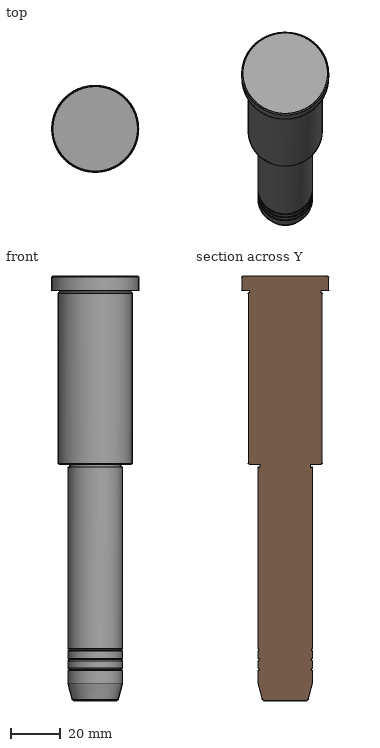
import cadquery as cq
import math

total_length = 171.0
head_height = 6.0
head_and_body_length = 76.0
tip_height = 7.0

head_diameter = 35.0
body_diameter = 30.0
shank_diameter = 22.0

head_chamfer = 0.5
body_chamfer = 0.5
tip_chamfer = 0.5

head_relief_height = 0.5
shank_relief_height = 1.0
shank_relief_depth = 0.7

groove_count = 3
groove_half_width = 0.5
groove_depth = 0.5
groove_pitch = 4.0
lowest_groove_centre = 12.7

tip_half_angle = 15.0

head_bottom = total_length - head_height
body_bottom = total_length - head_and_body_length
relief_bottom = body_bottom - shank_relief_height
shank_radius = shank_diameter / 2
relief_radius = shank_radius - shank_relief_depth
tip_radius = shank_radius - tip_height * math.tan(math.radians(tip_half_angle))


def cylinder(diameter, bottom, top):
    """Solid cylinder on the Z axis."""
    return cq.Workplane("XY").workplane(offset=bottom).circle(diameter / 2).extrude(top - bottom)


def groove_ring(centre_height):
    """Ring of triangular section that cuts one V groove into the shank."""
    return (
        cq.Workplane("XZ")
        .moveTo(shank_radius, centre_height - groove_half_width)
        .lineTo(shank_radius - groove_depth, centre_height)
        .lineTo(shank_radius, centre_height + groove_half_width)
        .close()
        .revolve(360, (0, 0), (0, 1))
    )


def make_head():
    return cylinder(head_diameter, head_bottom, total_length).faces(">Z").edges().chamfer(head_chamfer)


def make_body():
    body_top = head_bottom - head_relief_height
    body = cylinder(body_diameter, body_bottom, body_top)
    body = body.faces("<Z or >Z").edges().chamfer(body_chamfer)
    neck_diameter = body_diameter - 2 * body_chamfer
    return body.union(cylinder(neck_diameter, body_top, head_bottom))


def make_shank():
    shank = (
        cq.Workplane("XZ")
        .moveTo(0, 0)
        .lineTo(tip_radius, 0)
        .lineTo(shank_radius, tip_height)
        .lineTo(shank_radius, relief_bottom)
        .lineTo(relief_radius, relief_bottom)
        .lineTo(relief_radius, body_bottom)
        .lineTo(0, body_bottom)
        .close()
        .revolve(360, (0, 0), (0, 1))
        .faces("<Z").edges().chamfer(tip_chamfer)
    )
    for index in range(groove_count):
        shank = shank.cut(groove_ring(lowest_groove_centre + index * groove_pitch))
    return shank


result = make_head().union(make_body()).union(make_shank())